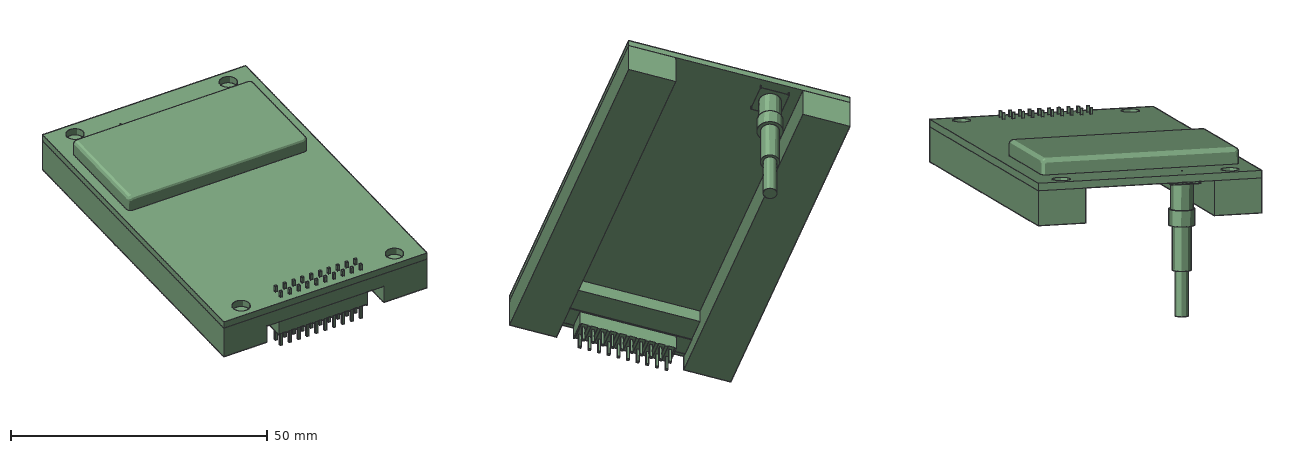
import cadquery as cq


LENGTH = 71.1
WIDTH = 45.7
BOARD_THICKNESS = 1.5
MOUNT_HOLE_DIAMETER = 3.55
MOUNT_HOLE_INSET_X = 3.0
MOUNT_HOLE_INSET_Y = 5.6

COVER_LENGTH = 22.4
COVER_WIDTH = 40.45
COVER_HEIGHT = 3.2
COVER_INSET_X = 7.95
COVER_INSET_Y = 2.0
COVER_ROUND = 1.0
COVER_TOP_ROUND = 0.99

CONNECTOR_X = 4.4 - LENGTH / 2
CONNECTOR_Y = 15.0 - WIDTH / 2
FLANGE_SIDE = 6.0
FLANGE_TOP = -0.65
FLANGE_BOTTOM = -0.7
LEG_SIDE = 0.2
CENTRE_PIN_DIAMETER = 0.85
CONNECTOR_BOSS_DIAMETER = 2.9
CONNECTOR_BOSS_TOP = -0.5
CONNECTOR_STEPS = [(4.5, -6.05), (5.1, -9.25), (3.8, -18.2), (2.7, -27.3)]
VENT_DIAMETER = 0.18

FRAME_HEIGHT = 7.0
RAIL_WIDTH = 9.75
BRIDGE_HEIGHT = 3.05
PAD_HEIGHT = 0.2
PAD_BOTTOM = -BRIDGE_HEIGHT - PAD_HEIGHT

PIN_ROWS = 2
PINS_PER_ROW = 10
PIN_PITCH = 2.0
PIN_SIDE = 0.5
PIN_ABOVE_BOARD = 1.2
PIN_BELOW_FRAME = 3.3
HEADER_CENTRE_X = LENGTH / 2 - 2.85
HEADER_GAP = 0.15
HEADER_FOOT_HEIGHT = 0.2
FOOT_WIDTH = 0.65
END_FOOT_WIDTH = FOOT_WIDTH / 2
HEADER_LENGTH = PINS_PER_ROW * PIN_PITCH
HEADER_WIDTH = PIN_ROWS * PIN_PITCH


def block(size_x, size_y, bottom, top, x=0.0, y=0.0):
    """Box centred on (x, y) that spans the heights bottom to top."""
    return cq.Workplane("XY", origin=(x, y, bottom)).box(size_x, size_y, top - bottom, (True, True, False))


def header_pins():
    """All pins, from below the frame to above the board."""
    bottom = -FRAME_HEIGHT - PIN_BELOW_FRAME
    top = BOARD_THICKNESS + PIN_ABOVE_BOARD
    return (
        cq.Workplane("XY", origin=(HEADER_CENTRE_X, 0, bottom))
        .rarray(PIN_PITCH, PIN_PITCH, PIN_ROWS, PINS_PER_ROW)
        .rect(PIN_SIDE, PIN_SIDE)
        .extrude(top - bottom)
    )


def cover():
    """Raised cover with rounded corners and a rounded top edge."""
    centre_x = COVER_INSET_X + (COVER_LENGTH - LENGTH) / 2
    centre_y = COVER_INSET_Y + (COVER_WIDTH - WIDTH) / 2
    top = BOARD_THICKNESS + COVER_HEIGHT
    body = block(COVER_LENGTH, COVER_WIDTH, BOARD_THICKNESS, top, centre_x, centre_y)
    return body.edges("|Z").fillet(COVER_ROUND).faces(">Z").edges().fillet(COVER_TOP_ROUND)


def connector_cylinder(diameter, bottom, top):
    """Cylinder on the connector axis that spans the heights bottom to top."""
    axis = cq.Workplane("XY", origin=(CONNECTOR_X, CONNECTOR_Y, bottom))
    return axis.circle(diameter / 2).extrude(top - bottom)


def connector():
    """Stepped round connector, held off the board by its centre pin and four corner legs."""
    body = block(FLANGE_SIDE, FLANGE_SIDE, FLANGE_BOTTOM, FLANGE_TOP, CONNECTOR_X, CONNECTOR_Y)
    leg_span = FLANGE_SIDE - LEG_SIDE
    legs = (
        cq.Workplane("XY", origin=(CONNECTOR_X, CONNECTOR_Y, FLANGE_BOTTOM))
        .rarray(leg_span, leg_span, 2, 2)
        .rect(LEG_SIDE, LEG_SIDE)
        .extrude(-FLANGE_BOTTOM)
    )
    body = body.union(legs)
    body = body.union(connector_cylinder(CONNECTOR_BOSS_DIAMETER, FLANGE_TOP, CONNECTOR_BOSS_TOP))
    body = body.union(connector_cylinder(CENTRE_PIN_DIAMETER, FLANGE_TOP, 0))
    step_top = FLANGE_BOTTOM
    for diameter, step_bottom in CONNECTOR_STEPS:
        body = body.union(connector_cylinder(diameter, step_bottom, step_top))
        step_top = step_bottom
    return body


def make_board():
    """Board with mounting holes and pin holes, its cover and its connector."""
    mount_span_x = LENGTH - 2 * MOUNT_HOLE_INSET_X
    mount_span_y = WIDTH - 2 * MOUNT_HOLE_INSET_Y
    board = (
        block(LENGTH, WIDTH, 0, BOARD_THICKNESS)
        .faces(">Z")
        .workplane(origin=(0, 0, BOARD_THICKNESS))
        .rarray(mount_span_x, mount_span_y, 2, 2)
        .hole(MOUNT_HOLE_DIAMETER)
    )
    vent = connector_cylinder(VENT_DIAMETER, 0, BOARD_THICKNESS)
    return board.cut(header_pins()).cut(vent).union(cover()).union(connector())


def header_block():
    """Header housing carried by the pins just under the pad, with feet on both sides of every pin."""
    foot_top = HEADER_FOOT_HEIGHT - FRAME_HEIGHT
    housing = block(HEADER_WIDTH, HEADER_LENGTH, foot_top, PAD_BOTTOM - HEADER_GAP, HEADER_CENTRE_X)
    feet = (
        cq.Workplane("XY", origin=(HEADER_CENTRE_X, 0, -FRAME_HEIGHT))
        .rarray(0.7, PIN_PITCH, 1, PINS_PER_ROW - 1)
        .rect(HEADER_WIDTH, FOOT_WIDTH)
        .extrude(HEADER_FOOT_HEIGHT)
    )
    end_foot_y = (HEADER_LENGTH - END_FOOT_WIDTH) / 2
    for y in (-end_foot_y, end_foot_y):
        housing = housing.union(
            block(HEADER_WIDTH, END_FOOT_WIDTH, -FRAME_HEIGHT, foot_top, HEADER_CENTRE_X, y)
        )
    return housing.union(feet)


def make_frame():
    """Two side rails joined by a bridge at the +X end, with the pins and their header below it."""
    rail_y = (WIDTH - RAIL_WIDTH) / 2
    bridge_x = (LENGTH - RAIL_WIDTH) / 2
    bridge = block(RAIL_WIDTH, WIDTH, -BRIDGE_HEIGHT, 0, bridge_x)
    pad = block(HEADER_WIDTH, WIDTH, PAD_BOTTOM, -BRIDGE_HEIGHT, HEADER_CENTRE_X)
    frame = bridge.union(pad)
    for y in (-rail_y, rail_y):
        frame = frame.union(block(LENGTH, RAIL_WIDTH, -FRAME_HEIGHT, 0, 0, y))
    return frame.union(header_pins()).union(header_block())


board = make_board()
frame = make_frame()
result = cq.Compound.makeCompound([board.val(), frame.val()])